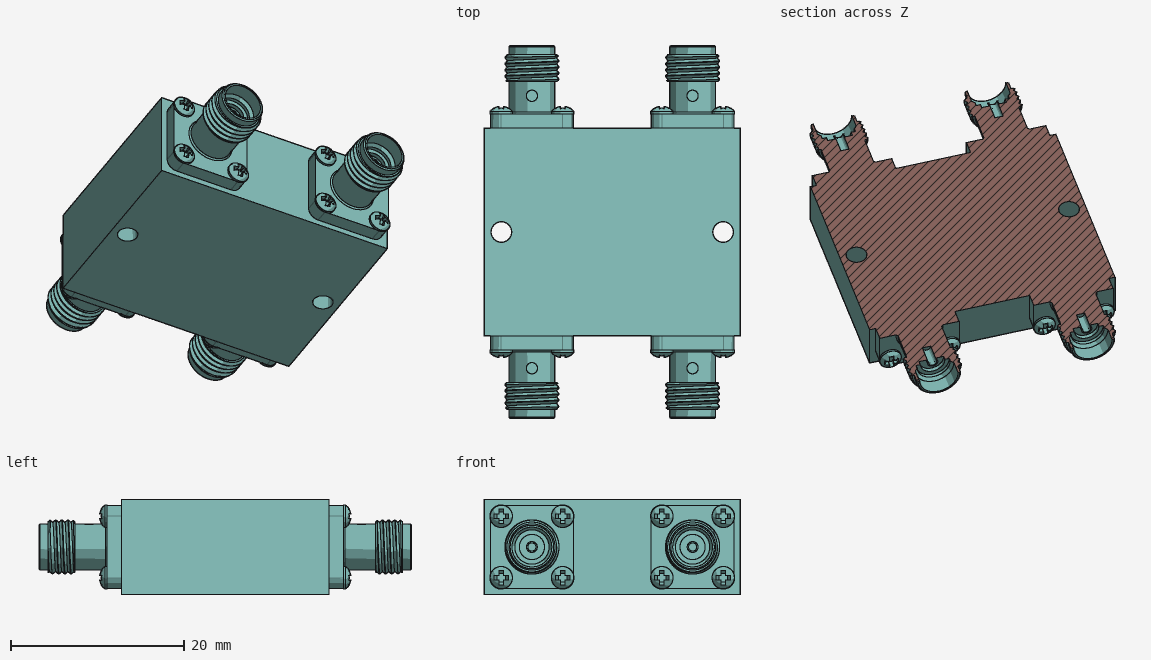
import cadquery as cq
import math

BODY_X = 29.6
BODY_Y = 24.0
BODY_Z = 11.0
MOUNT_HOLE_D = 2.35
MOUNT_HOLE_SPACING = 25.6

OVERALL_Y = 43.05
CONNECTOR_LENGTH = (OVERALL_Y - BODY_Y) / 2
CONNECTOR_SPACING = 18.55

FLANGE_SIZE = 9.6
FLANGE_THICKNESS = 1.65
SCREW_SPACING = 7.1
FLANGE_CORNER_R = (FLANGE_SIZE - SCREW_SPACING) / 2

SCREW_HEAD_D = 2.6
SCREW_HEAD_HEIGHT = 0.9
SCREW_RIM_HEIGHT = 0.25
RECESS_TOP_SPAN = 2.0
RECESS_FLOOR_SPAN = 0.95
RECESS_WIDTH = 0.55
RECESS_DEPTH = 0.75

BARREL_R = 2.66
BARREL_TIP_CHAMFER = 0.15
BARREL_BASE_FLARE = 0.18
BARREL_BASE_TAPER = 45
PLUG_D = 1.3
PLUG_FROM_TIP = 5.8

THREAD_R = 3.13
THREAD_ROOT_R = 2.85
THREAD_PITCH = 0.705
THREAD_CREST_WIDTH = 0.08
THREAD_TIP_GAP = 1.05
THREAD_LENGTH = 3.13
THREAD_END_CHAMFER = 0.25
THREAD_GROOVE_FROM_TIP = 2.13
THREAD_OVERCUT = 0.1

MOUTH_R = 2.3
MOUTH_DEPTH = 1.7
BORE_R = 1.98
BORE_TAPER_DEPTH = 2.1
BORE_DEPTH = 2.5
FLOOR_RECESS_R = 1.46
FLOOR_RECESS_DEPTH = 0.5
CONTACT_D = 1.25
CONTACT_HOLE_D = 0.95
CONTACT_HOLE_DEPTH = 2.5


def make_body():
    block = cq.Workplane("XY").box(BODY_X, BODY_Y, BODY_Z)
    return block.faces(">Z").workplane().rarray(MOUNT_HOLE_SPACING, 1, 2, 1).hole(MOUNT_HOLE_D)


def make_screw_head():
    """Screw head standing on z = 0."""
    head_r = SCREW_HEAD_D / 2
    dome_height = SCREW_HEAD_HEIGHT - SCREW_RIM_HEIGHT
    dome_r = (head_r**2 + dome_height**2) / (2 * dome_height)
    mid_r = head_r / 2
    mid_z = SCREW_HEAD_HEIGHT - dome_r + math.sqrt(dome_r**2 - mid_r**2)
    head = (
        cq.Workplane("XZ")
        .lineTo(head_r, 0)
        .lineTo(head_r, SCREW_RIM_HEIGHT)
        .threePointArc((mid_r, mid_z), (0, SCREW_HEAD_HEIGHT))
        .close()
        .revolve(360, (0, 0), (0, 1))
    )
    floor_z = SCREW_HEAD_HEIGHT - RECESS_DEPTH
    slot = (
        cq.Workplane("XZ")
        .moveTo(-RECESS_FLOOR_SPAN / 2, floor_z)
        .lineTo(RECESS_FLOOR_SPAN / 2, floor_z)
        .lineTo(RECESS_TOP_SPAN / 2, SCREW_HEAD_HEIGHT)
        .lineTo(-RECESS_TOP_SPAN / 2, SCREW_HEAD_HEIGHT)
        .close()
        .extrude(RECESS_WIDTH / 2, both=True)
    )
    return head.cut(slot).cut(slot.rotate((0, 0, 0), (0, 0, 1), 90))


def make_flange():
    """Flange standing on z = 0, with its four screw heads."""
    flange = (
        cq.Workplane("XY")
        .rect(FLANGE_SIZE, FLANGE_SIZE)
        .extrude(FLANGE_THICKNESS)
        .edges("|Z")
        .fillet(FLANGE_CORNER_R)
    )
    head = make_screw_head()
    for side_x in (-1, 1):
        for side_y in (-1, 1):
            position = (side_x * SCREW_SPACING / 2, side_y * SCREW_SPACING / 2, FLANGE_THICKNESS)
            flange = flange.union(head.translate(position))
    return flange


def make_thread():
    """Threaded sleeve, cut by one helical V groove that runs out of both ends."""
    top_z = CONNECTOR_LENGTH - THREAD_TIP_GAP
    bottom_z = top_z - THREAD_LENGTH
    sleeve = (
        cq.Workplane("XY")
        .workplane(offset=bottom_z)
        .circle(THREAD_R)
        .extrude(THREAD_LENGTH)
        .faces("<Z or >Z")
        .chamfer(THREAD_END_CHAMFER)
    )
    groove_z = CONNECTOR_LENGTH - THREAD_GROOVE_FROM_TIP
    turns_below = math.ceil((groove_z - bottom_z) / THREAD_PITCH) + 1
    turns_above = math.ceil((top_z - groove_z) / THREAD_PITCH) + 1
    start_z = groove_z - turns_below * THREAD_PITCH
    helix_height = (turns_below + turns_above) * THREAD_PITCH
    helix = cq.Wire.makeHelix(THREAD_PITCH, helix_height, THREAD_R, center=cq.Vector(0, 0, start_z))

    crest_half_width = (THREAD_PITCH - THREAD_CREST_WIDTH) / 2
    depth = THREAD_R - THREAD_ROOT_R
    outer_half_width = crest_half_width * (depth + THREAD_OVERCUT) / depth
    groove = (
        cq.Workplane("XZ")
        .moveTo(THREAD_ROOT_R, start_z)
        .lineTo(THREAD_R + THREAD_OVERCUT, start_z + outer_half_width)
        .lineTo(THREAD_R + THREAD_OVERCUT, start_z - outer_half_width)
        .close()
        .sweep(cq.Workplane(obj=helix), isFrenet=True)
    )
    return sleeve.cut(groove)


def make_socket():
    """Stepped cavity entering from the barrel tip, leaving the contact tube standing."""
    tip_z = CONNECTOR_LENGTH
    bore_floor_z = tip_z - BORE_DEPTH
    cavity = (
        cq.Workplane("XZ")
        .moveTo(0, tip_z)
        .lineTo(MOUTH_R, tip_z)
        .lineTo(MOUTH_R, tip_z - MOUTH_DEPTH)
        .lineTo(BORE_R, tip_z - BORE_TAPER_DEPTH)
        .lineTo(BORE_R, bore_floor_z)
        .lineTo(0, bore_floor_z)
        .close()
        .revolve(360, (0, 0), (0, 1))
    )
    bore_floor = cq.Workplane("XY").workplane(offset=bore_floor_z)
    floor_recess = bore_floor.circle(FLOOR_RECESS_R).circle(CONTACT_D / 2).extrude(-FLOOR_RECESS_DEPTH)
    contact_hole = bore_floor.circle(CONTACT_HOLE_D / 2).extrude(-CONTACT_HOLE_DEPTH)
    return cavity.union(floor_recess).union(contact_hole)


def make_connector():
    """Connector standing on z = 0, pointing along +Z, its plug facing -Y."""
    barrel = (
        cq.Workplane("XY")
        .circle(BARREL_R)
        .extrude(CONNECTOR_LENGTH)
        .faces(">Z")
        .chamfer(BARREL_TIP_CHAMFER)
    )
    base_flare = (
        cq.Workplane("XY")
        .workplane(offset=FLANGE_THICKNESS)
        .circle(BARREL_R + BARREL_BASE_FLARE)
        .extrude(BARREL_BASE_FLARE, taper=BARREL_BASE_TAPER)
    )
    plug = (
        cq.Workplane("XZ")
        .center(0, CONNECTOR_LENGTH - PLUG_FROM_TIP)
        .circle(PLUG_D / 2)
        .extrude(BARREL_R)
    )
    solid = make_flange().union(barrel).union(base_flare).union(plug).union(make_thread())
    return solid.cut(make_socket())


def place_connectors(body):
    connector = make_connector().rotate((0, 0, 0), (1, 0, 0), -90).translate((0, BODY_Y / 2, 0))
    for turn in (0, 180):
        turned = connector.rotate((0, 0, 0), (0, 0, 1), turn)
        for side in (-1, 1):
            body = body.union(turned.translate((side * CONNECTOR_SPACING / 2, 0, 0)))
    return body


result = place_connectors(make_body())